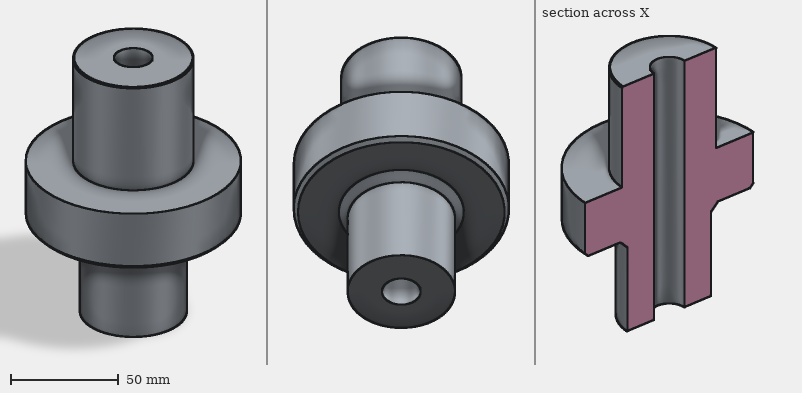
import cadquery as cq

total_height = 135.0
bore_diameter = 18.0

upper_diameter = 56.0
upper_length = 55.0
upper_chamfer = 0.5

flange_diameter = 100.0
flange_thickness = 30.0
flange_chamfer = 2.0

lower_diameter = 50.0
cone_height = 4.0

flange_top = total_height - upper_length
flange_bottom = flange_top - flange_thickness


def cylinder(diameter, bottom, height):
    """Upright cylinder on the part axis."""
    return cq.Workplane("XY").workplane(offset=bottom).circle(diameter / 2).extrude(height)


def transition_cone():
    """Cone that widens from the lower shaft up to the flange underside."""
    return (
        cq.Workplane("XY")
        .workplane(offset=flange_bottom - cone_height)
        .circle(lower_diameter / 2)
        .workplane(offset=cone_height)
        .circle(lower_diameter / 2 + cone_height)
        .loft(combine=True)
    )


lower_shaft = cylinder(lower_diameter, 0, flange_bottom)
flange = cylinder(flange_diameter, flange_bottom, flange_thickness)
flange = flange.faces("<Z").edges().chamfer(flange_chamfer)
upper_shaft = cylinder(upper_diameter, flange_top, upper_length)
upper_shaft = upper_shaft.faces(">Z").edges().chamfer(upper_chamfer)

bore = cylinder(bore_diameter, 0, total_height)

result = lower_shaft.union(transition_cone()).union(flange).union(upper_shaft).cut(bore)